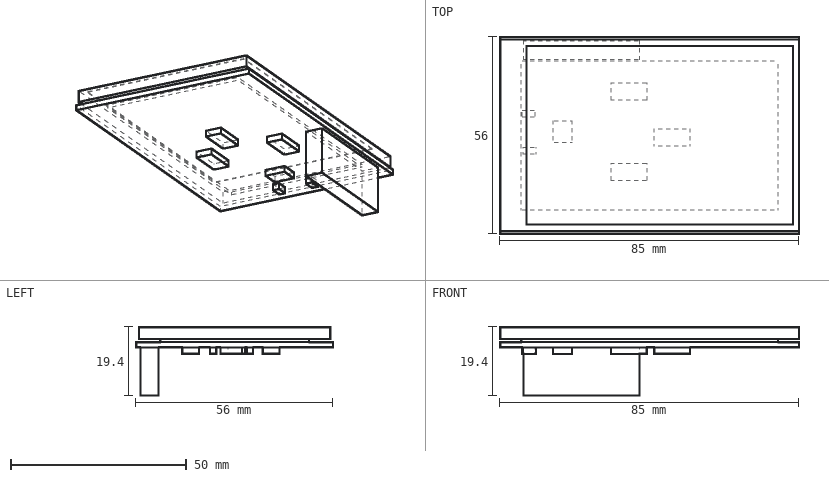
import cadquery as cq

board_length = 85.0
board_width = 56.0
board_thickness = 1.5

module_width = 54.4
module_thickness = 3.4
pad_length = 73.0
pad_width = 42.3
pad_thickness = 0.85

screen_length = 75.7
screen_width = 50.75
screen_center_x = 2.9
screen_depth = 0.2

header_length = 33.1
header_width = 5.2
header_height = 13.7
header_center = (-19.4, 24.2)

component_height = 1.8
chip_length = 10.2
chip_width = 4.85
controller_length = 5.4
controller_width = 6.1
capacitor_length = 3.65
capacitor_width = 1.9
left_chip_x = -5.9
right_chip_x = 6.4
components = [
    (left_chip_x, 12.5, chip_length, chip_width),
    (left_chip_x, -10.4, chip_length, chip_width),
    (right_chip_x, -0.6, chip_length, chip_width),
    (-24.7, 1.0, controller_length, controller_width),
    (-34.4, 6.1, capacitor_length, capacitor_width),
    (-34.2, -4.3, capacitor_length, capacitor_width),
]

board_top = board_thickness
pad_top = board_top + pad_thickness
module_top = pad_top + module_thickness


def block(length, width, height, bottom, center=(0, 0)):
    """Upright rectangular block centered on a point in plan."""
    return (
        cq.Workplane("XY", origin=(center[0], center[1], bottom))
        .rect(length, width)
        .extrude(height)
    )


def display_module():
    """Display body with the screen area recessed into its top face."""
    body = block(board_length, module_width, module_thickness, pad_top)
    screen = block(
        screen_length, screen_width, screen_depth, module_top - screen_depth, (screen_center_x, 0)
    )
    return body.cut(screen)


board = block(board_length, board_width, board_thickness, 0)
pad = block(pad_length, pad_width, pad_thickness, board_top)
header = block(header_length, header_width, header_height, -header_height, header_center)

result = board.union(pad).union(display_module()).union(header)
for x, y, length, width in components:
    component = block(length, width, component_height, -component_height, (x, y))
    result = result.union(component)